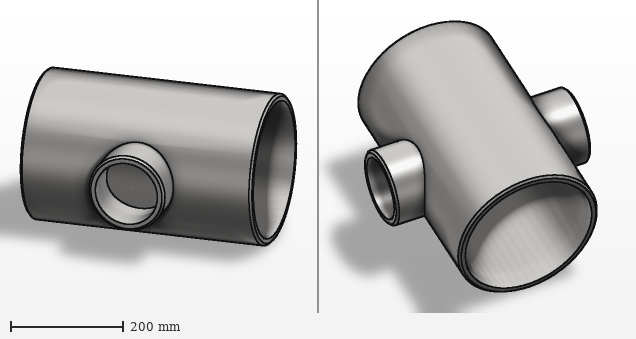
import cadquery as cq

run_length = 432.0
run_diameter = 273.0
run_bore = 248.0

branch_span = 381.0
branch_diameter = 141.5
branch_bore = 115.7

bevel = 4.5


def beveled_cylinder(plane, diameter, length):
    """Solid cylinder centred on the origin, with both outer rims beveled."""
    radius = diameter / 2
    half_length = length / 2
    profile = [
        (0, -half_length),
        (radius - bevel, -half_length),
        (radius, -half_length + bevel),
        (radius, half_length - bevel),
        (radius - bevel, half_length),
        (0, half_length),
    ]
    return cq.Workplane(plane).polyline(profile).close().revolve(360, (0, 0), (0, 1))


def through_bore(plane, diameter, length):
    """Plain cylinder centred on the origin, normal to the given plane."""
    return cq.Workplane(plane).circle(diameter / 2).extrude(length / 2, both=True)


run = beveled_cylinder("YX", run_diameter, run_length)
branches = beveled_cylinder("XY", branch_diameter, branch_span)

result = (
    run.union(branches)
    .cut(through_bore("YZ", run_bore, run_length))
    .cut(through_bore("XZ", branch_bore, branch_span))
)